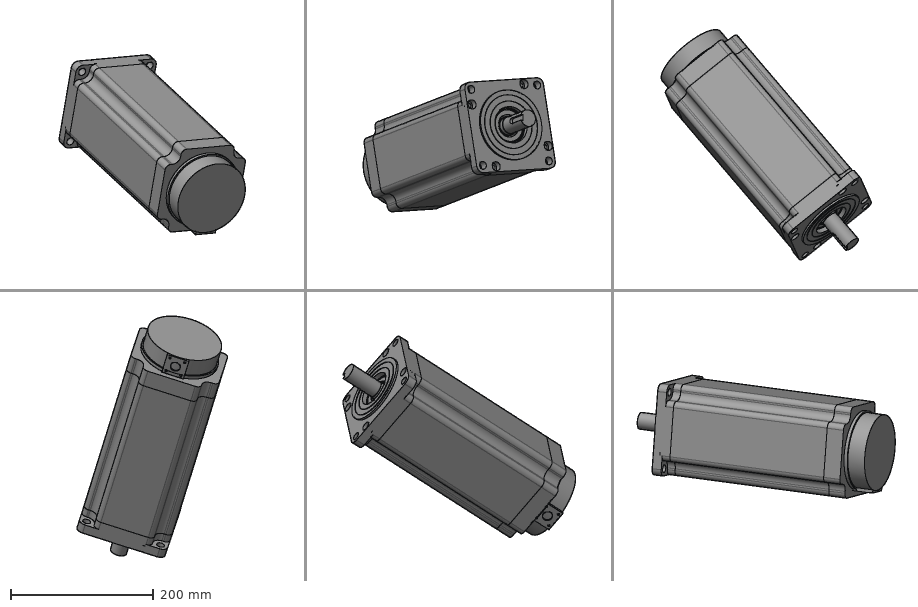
import cadquery as cq
import math

frame_turn = -10.0

shaft_tip = -50.0
spigot_height = 3.0
flange_thickness = 14.0
stator_front = 26.0
stator_rear = 262.0
rear_cover_end = 287.0
adapter_thickness = 5.0
motor_end = 317.5
adapter_end = rear_cover_end + adapter_thickness

diagonal = math.sin(math.radians(45))
flange_side = 130.0
flange_corner_radius = 10.0
half_side = flange_side / 2
flat_half_width = 35.0
lobe_radius = 8.0
mount_hole_offset = 54.5
mount_hole_diameter = 11.0
corner_relief_radius = 11.5

screw_count = 4
screw_circle_radius = 66.0
screw_angle = 30.0
screw_hole_diameter = 8.0
screw_hole_depth = 20.0
screw_head_diameter = 13.0
screw_head_depth = 10.0

spigot_radius = 50.0
groove_outer_radius = 43.0
groove_inner_radius = 34.0
groove_depth = 0.8
recess_radius = 26.0
recess_floor = 12.0

seal_shoulder = 4.2
seal_rim_front = 3.2
seal_rim_outer_radius = 24.2
seal_rim_inner_radius = 22.7
seal_face = 4.0
seal_mouth_radius = 16.0
seal_mouth_floor = 6.0
seal_funnel_radius = 13.8
seal_funnel_end = 7.5

shaft_radius = 12.0
shaft_seat_radius = 12.5
shaft_seat_start = 0.0
keyway_width = 8.0
keyway_floor = 8.0
keyway_length = 30.0

adapter_radius = 56.0
cap_radius = 53.8
outlet_width = 32.0
outlet_bottom = 56.1
outlet_hole_diameter = 14.0
outlet_hole_depth = 3.0
outlet_screw_spacing = 22.0
outlet_screw_diameter = 3.0
outlet_screw_depth = 3.0


def turned(part):
    """Turn a part built square to the axes into the attitude of the frame."""
    return part.rotate((0, 0, 0), (1, 0, 0), frame_turn)


def disc(radius, start, end):
    """Cylinder on the shaft axis between two stations."""
    return cq.Workplane("YZ", origin=(start, 0, 0)).circle(radius).extrude(end - start)


def quarter_turned(point, quarters):
    """Turn a section point clockwise by a number of quarter turns."""
    y, z = point
    for _ in range(quarters):
        y, z = z, -y
    return y, z


def frame_block(start, end):
    """Length of the motor frame: flat sides, rounded lobes and hollowed corners."""
    lobe_side = flat_half_width + lobe_radius
    lobe_end = half_side - lobe_radius
    lobe_bulge = lobe_radius * diagonal
    relief_centre = lobe_side + corner_relief_radius
    relief_middle = relief_centre - corner_relief_radius * diagonal
    corner = [
        (flat_half_width, half_side),
        (flat_half_width + lobe_bulge, lobe_end + lobe_bulge),
        (lobe_side, lobe_end),
        (lobe_side, relief_centre),
        (relief_middle, relief_middle),
        (relief_centre, lobe_side),
        (lobe_end, lobe_side),
        (lobe_end + lobe_bulge, flat_half_width + lobe_bulge),
        (half_side, flat_half_width),
    ]

    outline = cq.Workplane("YZ", origin=(start, 0, 0)).moveTo(-flat_half_width, half_side)
    for quarter in range(4):
        points = [quarter_turned(point, quarter) for point in corner]
        outline = (
            outline.lineTo(*points[0])
            .threePointArc(points[1], points[2])
            .lineTo(*points[3])
            .threePointArc(points[4], points[5])
            .lineTo(*points[6])
            .threePointArc(points[7], points[8])
        )
    return outline.close().extrude(end - start)


def make_flange():
    plate = (
        cq.Workplane("YZ")
        .rect(flange_side, flange_side)
        .extrude(flange_thickness)
        .edges("|X")
        .fillet(flange_corner_radius)
    )
    body = plate.union(frame_block(flange_thickness, stator_front))
    body = body.union(disc(spigot_radius, -spigot_height, 0))
    groove_floor = groove_depth - spigot_height
    groove = disc(groove_outer_radius, -spigot_height, groove_floor)
    body = body.cut(groove.cut(disc(groove_inner_radius, -spigot_height, groove_floor)))
    body = body.cut(
        cq.Workplane("YZ")
        .rect(2 * mount_hole_offset, 2 * mount_hole_offset, forConstruction=True)
        .vertices()
        .circle(mount_hole_diameter / 2)
        .extrude(flange_thickness)
    )
    screw_steps = [(screw_hole_diameter, screw_hole_depth), (screw_head_diameter, screw_head_depth)]
    for diameter, depth in screw_steps:
        body = body.cut(
            cq.Workplane("YZ")
            .polarArray(screw_circle_radius, screw_angle, 360, screw_count)
            .circle(diameter / 2)
            .extrude(depth)
        )
    body = body.cut(disc(recess_radius, -spigot_height, recess_floor))
    body = body.cut(disc(shaft_seat_radius, recess_floor, stator_front))
    return turned(body)


def make_seal():
    """Ring turned about the shaft axis from its half section, given as station and radius."""
    section = [
        (recess_floor, shaft_seat_radius),
        (recess_floor, recess_radius),
        (seal_shoulder, recess_radius),
        (seal_rim_front, seal_rim_outer_radius),
        (seal_rim_front, seal_rim_inner_radius),
        (seal_face, seal_rim_inner_radius),
        (seal_face, seal_mouth_radius),
        (seal_mouth_floor, seal_mouth_radius),
        (seal_mouth_floor, seal_funnel_radius),
        (seal_funnel_end, shaft_seat_radius),
    ]
    return cq.Workplane("XY").polyline(section).close().revolve(360, (0, 0, 0), (1, 0, 0))


def make_shaft():
    shaft = disc(shaft_radius, shaft_tip, shaft_seat_start)
    shaft = shaft.union(disc(shaft_seat_radius, shaft_seat_start, stator_front))
    keyway = (
        cq.Workplane("XZ", origin=(shaft_tip + keyway_length / 2, shaft_radius, 0))
        .slot2D(keyway_length, keyway_width)
        .extrude(shaft_radius - keyway_floor)
    )
    mouth = cq.Workplane("XY").box(
        keyway_length / 2, shaft_radius - keyway_floor, keyway_width, centered=(False, False, True)
    )
    return shaft.cut(keyway).cut(mouth.translate((shaft_tip, keyway_floor, 0)))


def make_stator():
    return turned(frame_block(stator_front, stator_rear))


def make_rear_cover():
    return turned(frame_block(stator_rear, rear_cover_end))


def make_adapter():
    return turned(disc(adapter_radius, rear_cover_end, adapter_end))


def make_cap():
    return turned(disc(cap_radius, adapter_end, motor_end))


def make_outlet():
    """Cable outlet block hanging below the encoder housing."""
    length = motor_end - rear_cover_end
    middle = (rear_cover_end + motor_end) / 2
    bottom = cq.Workplane("XY", origin=(middle, 0, -outlet_bottom))
    block = bottom.rect(length, outlet_width).extrude(outlet_bottom)
    block = block.cut(disc(adapter_radius, rear_cover_end, adapter_end))
    block = block.cut(disc(cap_radius, adapter_end, motor_end))
    block = block.cut(bottom.circle(outlet_hole_diameter / 2).extrude(outlet_hole_depth))
    screws = (
        bottom.rect(outlet_screw_spacing, outlet_screw_spacing, forConstruction=True)
        .vertices()
        .circle(outlet_screw_diameter / 2)
        .extrude(outlet_screw_depth)
    )
    return turned(block.cut(screws))


parts = [
    make_shaft(),
    make_seal(),
    make_flange(),
    make_stator(),
    make_rear_cover(),
    make_adapter(),
    make_cap(),
    make_outlet(),
]
result = cq.Compound.makeCompound([part.val() for part in parts])